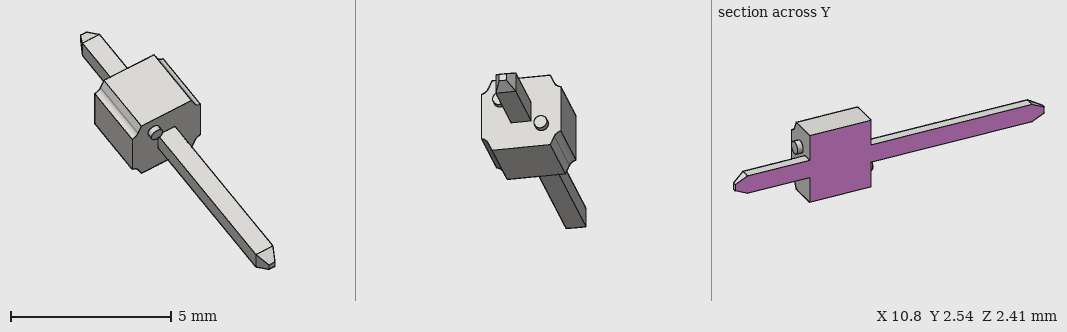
import cadquery as cq

pin_length = 10.8
pin_width = 0.64
tip_length = 0.43
tip_width = 0.23

body_start = -2.8
body_length = 2.15
body_width = 2.54
body_height = 2.41
body_end = body_start + body_length

top_flat_half = 0.93
side_flat_half = 0.77
slope_end_y = 1.06
slope_end_z = 0.93

peg_diameter = 0.42
peg_height = 0.19
peg_near = 0.48
peg_far = 0.66


def make_pin():
    shaft_length = pin_length - 2 * tip_length
    pin = cq.Workplane("YZ").box(pin_width, pin_width, shaft_length)
    for direction in (-1, 1):
        tip = (
            cq.Workplane("YZ", origin=(direction * shaft_length / 2, 0, 0))
            .rect(pin_width, pin_width)
            .workplane(offset=direction * tip_length)
            .rect(tip_width, tip_width)
            .loft(ruled=True)
        )
        pin = pin.union(tip)
    return pin


def make_edge_relief():
    """Cutter for the +Y, +Z long edge of the housing."""
    half_width = body_width / 2
    half_height = body_height / 2
    return (
        cq.Workplane("YZ", origin=(body_start, 0, 0))
        .moveTo(top_flat_half, half_height)
        .lineTo(slope_end_y, slope_end_z)
        .tangentArcPoint((half_width, side_flat_half), relative=False)
        .lineTo(half_width, half_height)
        .close()
        .extrude(body_length)
    )


def make_body():
    body = (
        cq.Workplane("YZ", origin=(body_start, 0, 0))
        .rect(body_width, body_height)
        .extrude(body_length)
    )
    upper_left = make_edge_relief()
    upper_right = upper_left.mirror("XZ")
    for relief in (upper_left, upper_right):
        body = body.cut(relief).cut(relief.mirror("XY"))
    return body


def make_pegs(face_x, height, centers):
    return (
        cq.Workplane("YZ", origin=(face_x, 0, 0))
        .pushPoints(centers)
        .circle(peg_diameter / 2)
        .extrude(height)
    )


start_peg_centers = [(peg_far, peg_near), (-peg_far, -peg_near)]
end_peg_centers = [(peg_near, -peg_far), (-peg_near, peg_far)]

result = (
    make_body()
    .union(make_pin())
    .union(make_pegs(body_start, -peg_height, start_peg_centers))
    .union(make_pegs(body_end, peg_height, end_peg_centers))
)